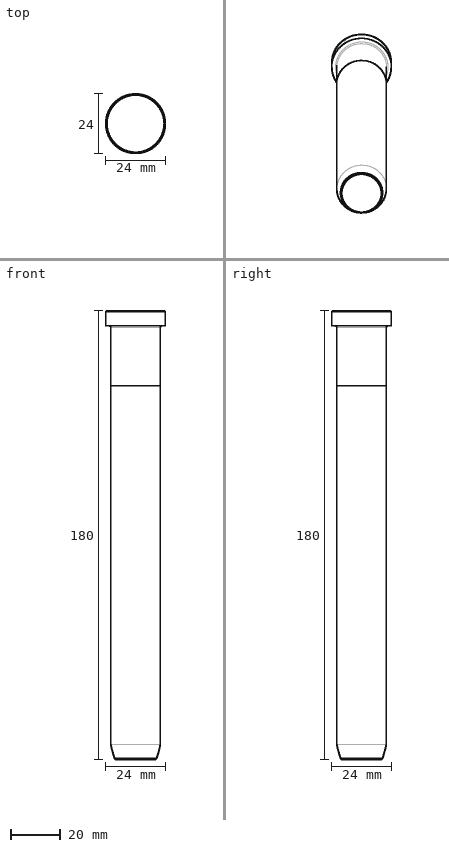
import cadquery as cq

total_length = 180.0
shaft_radius = 20.0 / 2

head_radius = 24.0 / 2
head_height = 6.1
head_chamfer = 0.5
neck_fillet = 0.5

upper_length = 30.0

tip_length = 6.1
tip_radius = 8.5
tip_bulge = 0.15
end_chamfer = 0.5

top_z = total_length / 2
bottom_z = -total_length / 2
head_bottom_z = top_z - head_height
joint_z = top_z - upper_length
arc_start_z = bottom_z + end_chamfer
tip_start_z = bottom_z + tip_length


def make_headed_neck():
    """Chamfered round head, filleted into a cylindrical neck that ends at the joint."""
    return (
        cq.Workplane("XZ")
        .moveTo(0, joint_z)
        .lineTo(shaft_radius, joint_z)
        .lineTo(shaft_radius, head_bottom_z - neck_fillet)
        .radiusArc((shaft_radius + neck_fillet, head_bottom_z), neck_fillet)
        .lineTo(head_radius, head_bottom_z)
        .lineTo(head_radius, top_z - head_chamfer)
        .lineTo(head_radius - head_chamfer, top_z)
        .lineTo(0, top_z)
        .close()
        .revolve(360, (0, 0, 0), (0, 1, 0))
    )


def make_shank():
    """Long cylinder below the joint, narrowing in a shallow arc to a chamfered flat end."""
    arc_middle = ((shaft_radius + tip_radius) / 2 + tip_bulge, (arc_start_z + tip_start_z) / 2)
    return (
        cq.Workplane("XZ")
        .moveTo(0, bottom_z)
        .lineTo(tip_radius - end_chamfer, bottom_z)
        .lineTo(tip_radius, arc_start_z)
        .threePointArc(arc_middle, (shaft_radius, tip_start_z))
        .lineTo(shaft_radius, joint_z)
        .lineTo(0, joint_z)
        .close()
        .revolve(360, (0, 0, 0), (0, 1, 0))
    )


headed_neck = make_headed_neck()
shank = make_shank()

result = cq.Compound.makeCompound([headed_neck.val(), shank.val()])